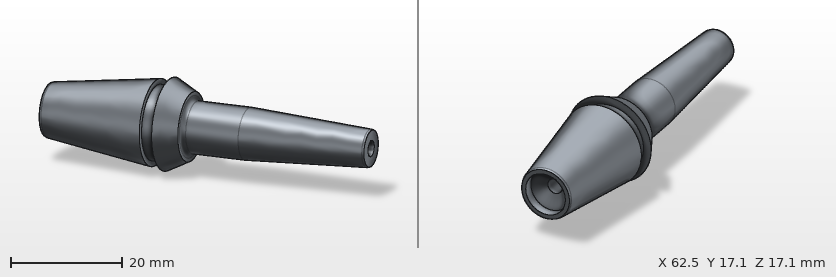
import cadquery as cq
import math

length = 62.5

nose_end_x = 20.75
nose_front_radius = 5.1
nose_back_radius = 8.0
nose_bevel_length = 0.45
nose_face_radius = 4.95

groove_radius = 6.95
collar_start_x = 23.4
collar_end_x = 27.55
collar_radius = 17.05 / 2
collar_back_radius = 6.4

stem_radius = 4.8
stem_fillet = 0.9
taper_start_x = 38.6
tail_radius = 3.5
tail_bevel_length = 0.4
tail_face_radius = 3.4

bore_radius = 2.95 / 2
socket_radius = 8.2 / 2
socket_depth = 1.9
socket_tip_angle = 118.0


def make_body():
    """Revolve the outer outline, including the slim bevels at both ends."""
    outline = (
        cq.Workplane("XY")
        .lineTo(0, nose_face_radius)
        .lineTo(nose_bevel_length, nose_front_radius)
        .lineTo(nose_end_x, nose_back_radius)
        .lineTo(nose_end_x, groove_radius)
        .lineTo(collar_start_x, groove_radius)
        .lineTo(collar_start_x, collar_radius)
        .lineTo(collar_end_x, collar_back_radius)
        .lineTo(collar_end_x, stem_radius + stem_fillet)
        .radiusArc((collar_end_x + stem_fillet, stem_radius), -stem_fillet)
        .lineTo(taper_start_x, stem_radius)
        .lineTo(length - tail_bevel_length, tail_radius)
        .lineTo(length, tail_face_radius)
        .lineTo(length, 0)
        .close()
    )
    return outline.revolve(360, (0, 0, 0), (1, 0, 0))


def make_bore():
    """Through hole opening into a flat-sided socket with a conical bottom."""
    half_tip_angle = math.radians(socket_tip_angle / 2)
    tip_depth = (socket_radius - bore_radius) / math.tan(half_tip_angle)
    outline = (
        cq.Workplane("XY")
        .lineTo(0, socket_radius)
        .lineTo(socket_depth, socket_radius)
        .lineTo(socket_depth + tip_depth, bore_radius)
        .lineTo(length, bore_radius)
        .lineTo(length, 0)
        .close()
    )
    return outline.revolve(360, (0, 0, 0), (1, 0, 0))


result = make_body().cut(make_bore())